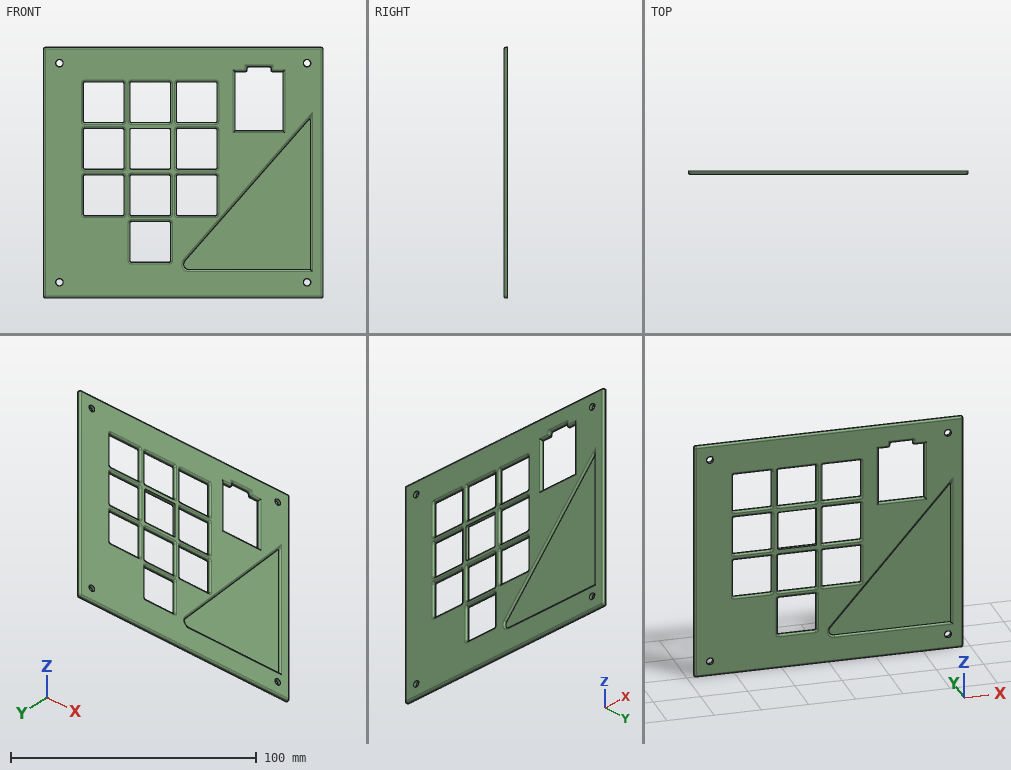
import cadquery as cq
import math

PLATE_WIDTH = 113.79
PLATE_HEIGHT = 102.16
PLATE_THICKNESS = 1.5
EDGE_RADIUS = 0.8
FRONT_Y = -PLATE_THICKNESS / 2
MATCH_TOLERANCE = 1e-4

HOLE_DIAMETER = 2.9
HOLE_SPACING_X = 100.8
HOLE_SPACING_Z = 89.2

KEY_SIZE = 16.44
KEY_CORNER_RADIUS = 0.53
KEY_PITCH = 18.94
KEYPAD_X = -13.45
KEYPAD_Z = 9.73
SHARP_KEY = (0, 0)
KEY_CELLS = [(column, row) for column in (-1, 0, 1) for row in (-1, 0, 1)]
KEY_CELLS.append((0, -2))

WINDOW_WIDTH = 19.42
WINDOW_HEIGHT = 23.95
WINDOW_X = 30.84
WINDOW_Z = 29.09
WINDOW_TOP = WINDOW_Z + WINDOW_HEIGHT / 2
NOTCH_WIDTH = 9.79
NOTCH_HEIGHT = 2.0
NOTCH_CORNER_RADIUS = 0.75

RECESS_RIGHT = 51.72
RECESS_BOTTOM = -39.44
RECESS_WIDTH = 54.15
RECESS_HEIGHT = 61.76
RECESS_DEPTH = 0.9
RECESS_CORNER_RADIUS = 2.16
RECESS_TIP_RADIUS = 0.36


def front_plane(x=0.0, z=0.0):
    """Sketch plane on the front face: local x = +X, local y = +Z, normal = -Y."""
    return cq.Workplane("XZ", origin=(x, FRONT_Y, z))


def make_plate():
    plate = front_plane().rect(PLATE_WIDTH, PLATE_HEIGHT).extrude(-PLATE_THICKNESS)
    plate = plate.edges("|Y").fillet(EDGE_RADIUS)
    return plate.faces("<Y").edges().fillet(EDGE_RADIUS)


def through_rectangle(x, z, width, height):
    return front_plane(x, z).rect(width, height).extrude(-PLATE_THICKNESS)


def cut_with_rounded_rim(body, cutter):
    """Cut the body and round the edges the cutter leaves on the front face."""
    rim_centres = [edge.Center() for edge in cutter.faces("<Y").edges().vals()]
    cut_body = body.cut(cutter)
    rim = [
        edge
        for edge in cut_body.faces("<Y").edges().vals()
        if any((edge.Center() - centre).Length < MATCH_TOLERANCE for centre in rim_centres)
    ]
    return cut_body.newObject(rim).fillet(EDGE_RADIUS)


def key_opening(column, row):
    x = KEYPAD_X + column * KEY_PITCH
    z = KEYPAD_Z + row * KEY_PITCH
    opening = through_rectangle(x, z, KEY_SIZE, KEY_SIZE)
    return opening.edges("|Y").fillet(KEY_CORNER_RADIUS)


def window_opening():
    window = through_rectangle(WINDOW_X, WINDOW_Z, WINDOW_WIDTH, WINDOW_HEIGHT)
    notch = through_rectangle(WINDOW_X, WINDOW_TOP, NOTCH_WIDTH, 2 * NOTCH_HEIGHT)
    return window.union(notch)


def notch_corners():
    sides = [WINDOW_X - NOTCH_WIDTH / 2, WINDOW_X + NOTCH_WIDTH / 2]
    return [(x, z) for x in sides for z in (WINDOW_TOP, WINDOW_TOP + NOTCH_HEIGHT)]


def triangular_recess():
    recess = (
        front_plane(RECESS_RIGHT, RECESS_BOTTOM)
        .polyline([(0, 0), (0, RECESS_HEIGHT), (-RECESS_WIDTH, 0)])
        .close()
        .extrude(-RECESS_DEPTH)
    )
    return recess.edges("|Y").edges("<X").fillet(RECESS_CORNER_RADIUS)


def with_rounded_walls(body, corners, radius):
    """Round the wall edges along Y that stand at the given (x, z) corners."""
    edges = [
        edge
        for edge in body.edges("|Y").vals()
        if any(math.hypot(edge.Center().x - x, edge.Center().z - z) < MATCH_TOLERANCE for x, z in corners)
    ]
    return body.newObject(edges).fillet(radius)


def cut_keypad(body):
    for cell in KEY_CELLS:
        if cell == SHARP_KEY:
            body = body.cut(key_opening(*cell))
        else:
            body = cut_with_rounded_rim(body, key_opening(*cell))
    return body


def cut_window(body):
    body = cut_with_rounded_rim(body, window_opening())
    return with_rounded_walls(body, notch_corners(), NOTCH_CORNER_RADIUS)


def cut_recess(body):
    body = cut_with_rounded_rim(body, triangular_recess())
    tip = (RECESS_RIGHT, RECESS_BOTTOM + RECESS_HEIGHT)
    return with_rounded_walls(body, [tip], RECESS_TIP_RADIUS)


def cut_mounting_holes(body):
    centres = front_plane().rect(HOLE_SPACING_X, HOLE_SPACING_Z, forConstruction=True).vertices()
    return body.cut(centres.circle(HOLE_DIAMETER / 2).extrude(-PLATE_THICKNESS))


result = make_plate()
result = cut_keypad(result)
result = cut_window(result)
result = cut_recess(result)
result = cut_mounting_holes(result)